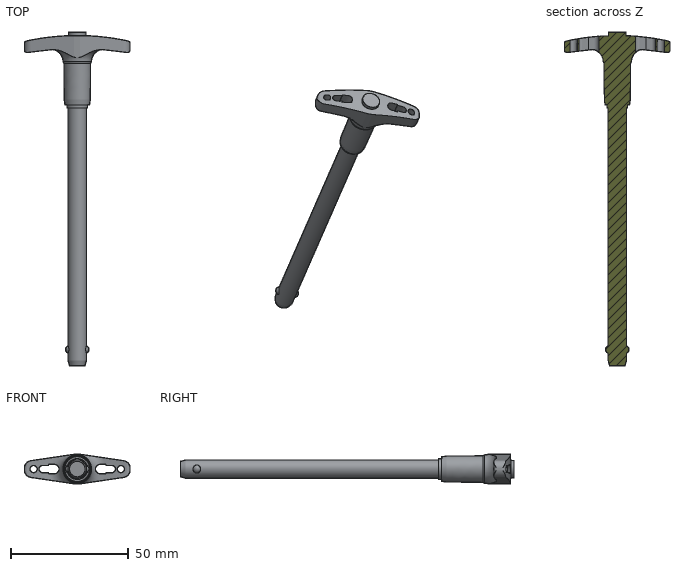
import cadquery as cq
import math


SHANK_RADIUS = 3.97
SHANK_LENGTH = 110.0
TIP_RADIUS = 3.3
TIP_TAPER_LENGTH = 2.3

BALL_RADIUS = 1.75
BALL_REACH = 5.0
BALL_FROM_TIP = 7.0

OVERALL_LENGTH = 142.24
BUTTON_TOP = OVERALL_LENGTH - SHANK_LENGTH
BUTTON_RADIUS = 3.75
BUTTON_HEIGHT = 1.35

NECK_RADIUS = 4.45
NECK_TOP = 1.3
COLLAR_RADIUS = 5.3
COLLAR_TOP = 3.5
STEM_BOTTOM_RADIUS = 5.6
STEM_TOP_RADIUS = 5.75
STEM_TOP = 18.9
FLARE_BOTTOM = 19.7
FLARE_RIM_RADIUS = 6.1
FLARE_RADIUS = 5.1

GRIP_LENGTH = 45.18
GRIP_WIDTH = 12.7
GRIP_FLAT_LENGTH = 2.4
GRIP_CROWN = BUTTON_TOP - BUTTON_HEIGHT
CROWN_RADIUS = 100.0
UNDERSIDE_DROOP = 7.3
END_WIDTH = 6.4
END_CORNER_RADIUS = 3.4
END_EDGE_RADIUS = 1.2

SLOT_INNER_X = 7.8
SLOT_STEP_X = 12.2
SLOT_OUTER_X = 16.25
SLOT_WIDE = 3.9
SLOT_NARROW = 3.0
LANYARD_HOLE_X = 18.6
LANYARD_HOLE_DIAMETER = 2.95


def revolve_about_pin(profile):
    """Turn a closed (radius, Y) profile about the pin axis."""
    return profile.close().revolve(360, (0, 0, 0), (0, 1, 0))


def make_pin():
    """Turned shank, tapered tip, neck, collar and stem."""
    tip = -SHANK_LENGTH
    profile = (
        cq.Workplane("XY")
        .moveTo(0, tip)
        .lineTo(TIP_RADIUS, tip)
        .lineTo(SHANK_RADIUS, tip + TIP_TAPER_LENGTH)
        .lineTo(SHANK_RADIUS, 0)
        .lineTo(NECK_RADIUS, 0)
        .lineTo(NECK_RADIUS, NECK_TOP)
        .lineTo(COLLAR_RADIUS, NECK_TOP)
        .lineTo(STEM_BOTTOM_RADIUS, COLLAR_TOP)
        .lineTo(STEM_TOP_RADIUS, STEM_TOP)
        .lineTo(FLARE_RIM_RADIUS, FLARE_BOTTOM)
        .lineTo(0, FLARE_BOTTOM)
    )
    return revolve_about_pin(profile)


def make_button():
    """Push button standing out of the grip crown."""
    profile = (
        cq.Workplane("XY")
        .moveTo(0, FLARE_BOTTOM)
        .lineTo(BUTTON_RADIUS, FLARE_BOTTOM)
        .lineTo(BUTTON_RADIUS, BUTTON_TOP)
        .lineTo(0, BUTTON_TOP)
    )
    return revolve_about_pin(profile)


def make_grip_blank():
    """Turned blank of the grip: domed top, rounded rim, drooping underside and concave flare."""
    rim = GRIP_LENGTH / 2
    dome_rim = GRIP_CROWN - CROWN_RADIUS + math.sqrt(CROWN_RADIUS**2 - rim**2)
    dome_middle = GRIP_CROWN - CROWN_RADIUS + math.sqrt(CROWN_RADIUS**2 - (rim / 2) ** 2)
    flare_center = FLARE_RIM_RADIUS + FLARE_RADIUS
    flare_end_angle = math.radians(90 - UNDERSIDE_DROOP)
    flare_middle_angle = (flare_end_angle + math.pi) / 2
    flare_end = (
        flare_center + FLARE_RADIUS * math.cos(flare_end_angle),
        FLARE_BOTTOM + FLARE_RADIUS * math.sin(flare_end_angle),
    )
    flare_middle = (
        flare_center + FLARE_RADIUS * math.cos(flare_middle_angle),
        FLARE_BOTTOM + FLARE_RADIUS * math.sin(flare_middle_angle),
    )
    underside_rim = flare_end[1] - (rim - flare_end[0]) * math.tan(math.radians(UNDERSIDE_DROOP))
    profile = (
        cq.Workplane("XY")
        .moveTo(0, FLARE_BOTTOM)
        .lineTo(FLARE_RIM_RADIUS, FLARE_BOTTOM)
        .threePointArc(flare_middle, flare_end)
        .lineTo(rim, underside_rim)
        .lineTo(rim, dome_rim)
        .threePointArc((rim / 2, dome_middle), (0, GRIP_CROWN))
    )
    blank = revolve_about_pin(profile)
    return blank.faces("%CYLINDER").edges("%CIRCLE").fillet(END_EDGE_RADIUS)


def make_plan_prism():
    """Plan of the grip along the pin axis: widest in the middle, tapering to round-cornered ends."""
    half = GRIP_LENGTH / 2
    flat = GRIP_FLAT_LENGTH / 2
    return (
        cq.Workplane("XZ")
        .polyline([
            (-half, -END_WIDTH / 2),
            (-flat, -GRIP_WIDTH / 2),
            (flat, -GRIP_WIDTH / 2),
            (half, -END_WIDTH / 2),
            (half, END_WIDTH / 2),
            (flat, GRIP_WIDTH / 2),
            (-flat, GRIP_WIDTH / 2),
            (-half, END_WIDTH / 2),
        ])
        .close()
        .extrude(-BUTTON_TOP)
        .edges("|Y")
        .edges("<X or >X")
        .fillet(END_CORNER_RADIUS)
    )


def slot(inner_x, outer_x, width):
    """Round-ended slot cutter along X, running right through the grip."""
    return (
        cq.Workplane("XZ")
        .center((inner_x + outer_x) / 2, 0)
        .slot2D(outer_x - inner_x, width)
        .extrude(-BUTTON_TOP)
    )


def make_arm_openings():
    """Stepped finger slot and lanyard hole of the +X arm."""
    wide = slot(SLOT_INNER_X, SLOT_STEP_X + SLOT_WIDE / 2, SLOT_WIDE)
    beyond_step = cq.Workplane("XY").box(
        SLOT_WIDE, 2 * BUTTON_TOP, SLOT_WIDE, centered=(False, True, True)
    )
    wide = wide.cut(beyond_step.translate((SLOT_STEP_X, 0, 0)))
    narrow = slot(SLOT_INNER_X, SLOT_OUTER_X, SLOT_NARROW)
    hole = (
        cq.Workplane("XZ")
        .center(LANYARD_HOLE_X, 0)
        .circle(LANYARD_HOLE_DIAMETER / 2)
        .extrude(-BUTTON_TOP)
    )
    return wide.union(narrow).union(hole)


def make_grip():
    """Turned grip blank cut to plan and pierced in both arms."""
    grip = make_grip_blank().intersect(make_plan_prism())
    openings = make_arm_openings()
    return grip.cut(openings).cut(openings.mirror("YZ"))


def make_ball(side):
    """Locking ball showing through the shank wall on one side."""
    center = (side * (BALL_REACH - BALL_RADIUS), BALL_FROM_TIP - SHANK_LENGTH, 0)
    return cq.Workplane("XY").sphere(BALL_RADIUS).translate(center)


result = make_pin().union(make_grip()).union(make_button())
for ball_side in (-1, 1):
    result = result.union(make_ball(ball_side))